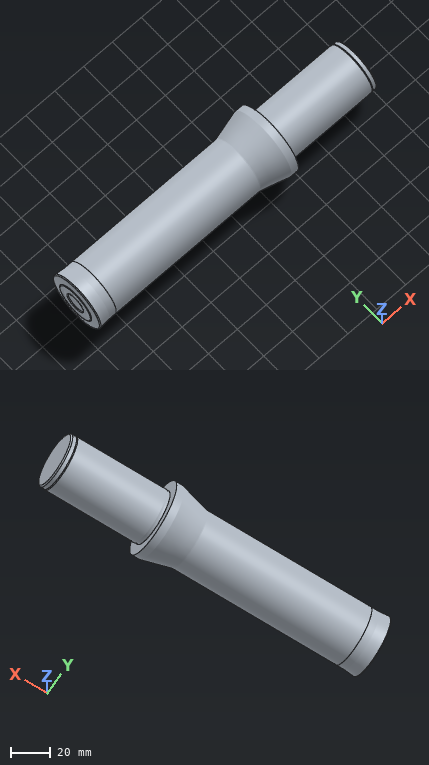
import cadquery as cq

length = 195.0

head_length = 12.5
body_radius = 35.0 / 2
tip_radius = 36.0 / 2
tip_corner = 0.5
rim_x = 0.8
taper_end_x = 7.8

step_outer_radius = 12.0
step_inner_radius = 11.5
step_depth = 0.3
valley_radius = 8.5
valley_depth = 0.3
recess_outer_radius = 6.2
recess_inner_radius = 5.8
recess_depth = 0.5
centre_depth = 1.2

collar_radius = 44.0 / 2
collar_start_x = 112.7
collar_rim_x = 129.9
collar_end_x = 134.7
collar_blend = 2.0
collar_rim_blend = 1.0

shank_radius = 32.0 / 2
relief_radius = 31.5 / 2
relief_root_length = 1.2
relief_length = 2.1
end_step_length = 3.1
step_run = 0.5
end_chamfer = 0.8


def revolve_about_x(profile):
    return profile.close().revolve(360, (0, 0, 0), (1, 0, 0))


def make_cutting_head():
    profile = cq.Workplane("XY").polyline([
        (centre_depth, 0),
        (recess_depth, recess_inner_radius),
        (0, recess_outer_radius),
        (valley_depth, valley_radius),
        (0, step_inner_radius),
        (step_depth, step_outer_radius),
        (rim_x, tip_radius - tip_corner),
        (rim_x + tip_corner, tip_radius),
        (taper_end_x, body_radius),
        (head_length, body_radius),
        (head_length, 0),
    ])
    return revolve_about_x(profile)


def ring_edge(x, radius):
    """Selector for the circular edge around the axis at one X position."""
    margin = 0.2
    reach = radius + margin
    return cq.selectors.BoxSelector(
        (x - margin, -reach, -reach), (x + margin, reach, reach), boundingbox=True
    )


def make_holder():
    relief_start_x = collar_end_x + relief_root_length
    relief_end_x = collar_end_x + relief_length
    end_step_x = length - end_step_length
    profile = cq.Workplane("XY").polyline([
        (head_length, 0),
        (head_length, body_radius),
        (collar_start_x, body_radius),
        (collar_rim_x, collar_radius),
        (collar_end_x, collar_radius),
        (collar_end_x, relief_radius),
        (relief_start_x, relief_radius),
        (relief_end_x, shank_radius),
        (end_step_x - step_run, shank_radius),
        (end_step_x, relief_radius),
        (length - end_chamfer, relief_radius),
        (length, relief_radius - end_chamfer),
        (length, 0),
    ])
    holder = revolve_about_x(profile)
    holder = holder.edges(ring_edge(collar_start_x, body_radius)).fillet(collar_blend)
    return holder.edges(ring_edge(collar_rim_x, collar_radius)).fillet(collar_rim_blend)


cutting_head = make_cutting_head()
holder = make_holder()

result = cq.Compound.makeCompound([cutting_head.val(), holder.val()])